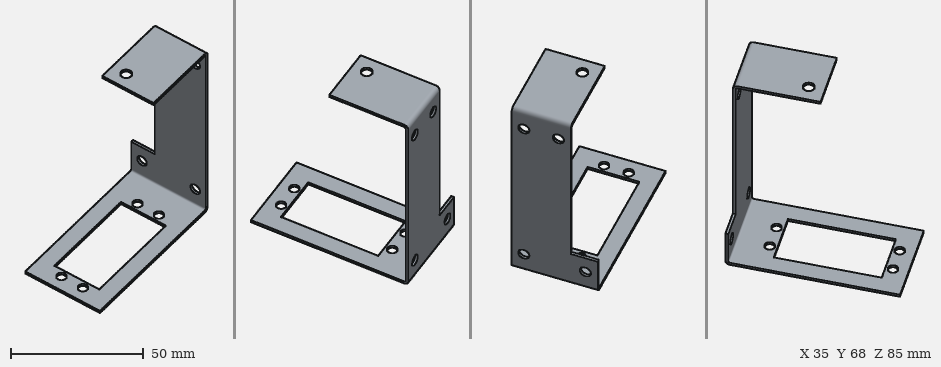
import cadquery as cq

width = 35.0
depth = 68.0
height = 85.0
thickness = 1.2
inner_bend_radius = 0.8
outer_bend_radius = inner_bend_radius + thickness

notch_width = 11.0
foot_height = 16.3
top_flange_depth = 34.2

mount_hole_diameter = 4.5
mount_hole_end_inset = 9.0
mount_hole_side_inset = 5.0

flange_hole_x = 17.5
flange_hole_edge_inset = 6.3

window_width = 21.0
window_length = 42.0
window_front_inset = 9.0
window_center_x = width / 2
window_center_y = window_front_inset + window_length / 2
screw_hole_diameter = 4.0
screw_hole_spacing_x = 10.0
screw_hole_spacing_y = 47.9


def bent_sheet():
    """C-shaped sheet: base, back wall and top flange joined by round bends."""
    outer = cq.Workplane("XY").box(width, depth, height, centered=False)
    outer = outer.edges("|X and >Y").fillet(outer_bend_radius)
    inner = (
        cq.Workplane("XY")
        .box(width, depth - thickness, height - 2 * thickness, centered=False)
        .translate((0, 0, thickness))
        .edges("|X and >Y")
        .fillet(inner_bend_radius)
    )
    sheet = outer.cut(inner)
    flange_front_y = depth - top_flange_depth
    flange_trim = (
        cq.Workplane("XY")
        .box(width, flange_front_y, height - thickness, centered=False)
        .translate((0, 0, thickness))
    )
    return sheet.cut(flange_trim)


def side_notch():
    """Block removed beside the narrow upper part of the bracket."""
    return (
        cq.Workplane("XY")
        .box(notch_width, depth, height - foot_height, centered=False)
        .translate((0, 0, foot_height))
    )


def wall_holes():
    """Two holes near each end of the back wall."""
    right_x = width - mount_hole_side_inset
    low_z = mount_hole_end_inset
    high_z = height - mount_hole_end_inset
    centers = [
        (mount_hole_side_inset, low_z),
        (right_x, low_z),
        (notch_width + mount_hole_side_inset, high_z),
        (right_x, high_z),
    ]
    return (
        cq.Workplane("XZ", origin=(0, depth, 0))
        .pushPoints(centers)
        .circle(mount_hole_diameter / 2)
        .extrude(thickness)
    )


def flange_hole():
    """Hole near the free edge of the top flange."""
    hole_y = depth - top_flange_depth + flange_hole_edge_inset
    return (
        cq.Workplane("XY", origin=(flange_hole_x, hole_y, height - thickness))
        .circle(mount_hole_diameter / 2)
        .extrude(thickness)
    )


def base_openings():
    """Window and the four screw holes at its ends."""
    base = cq.Workplane("XY", origin=(window_center_x, window_center_y, 0))
    window = base.rect(window_width, window_length).extrude(thickness)
    screw_holes = (
        base.rarray(screw_hole_spacing_x, screw_hole_spacing_y, 2, 2)
        .circle(screw_hole_diameter / 2)
        .extrude(thickness)
    )
    return window.add(screw_holes).combine()


result = bent_sheet()
for cutter in (side_notch(), wall_holes(), flange_hole(), base_openings()):
    result = result.cut(cutter)